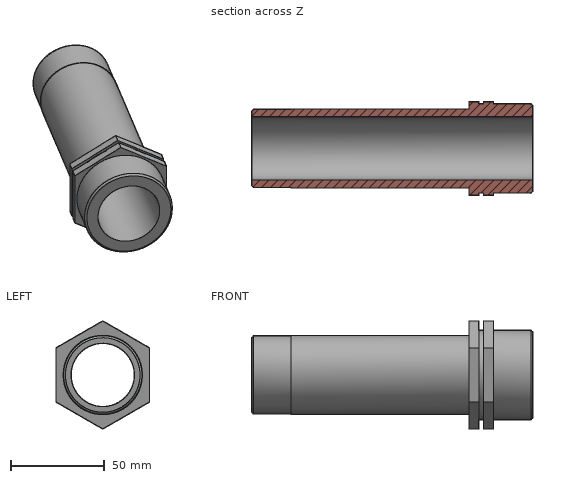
import cadquery as cq

length = 150.0
bore_diameter = 33.6

end_diameter = 41.8
end_length = 21.0
tube_diameter = 42.3
end_chamfer = 1.0

collar_diameter = 47.8
collar_chamfer = 1.0

hex_across_corners = 57.8
hex_thickness = 5.4
hex_gap = 2.4
first_hex_start = 115.8
hex_starts = (first_hex_start, first_hex_start + hex_thickness + hex_gap)


def cylinder(start, end, diameter):
    """Solid cylinder along X between two stations."""
    return cq.Workplane("YZ", origin=(start, 0, 0)).circle(diameter / 2).extrude(end - start)


def hexagon(start):
    """Hexagonal flange with its flats facing +Y and -Y."""
    return (
        cq.Workplane("YZ", origin=(start, 0, 0))
        .transformed(rotate=(0, 0, 90))
        .polygon(6, hex_across_corners)
        .extrude(hex_thickness)
    )


end_section = cylinder(0, end_length, end_diameter).faces("<X").chamfer(end_chamfer)
tube = cylinder(end_length, length, tube_diameter)
collar = cylinder(first_hex_start, length, collar_diameter).faces(">X").chamfer(collar_chamfer)

body = end_section.union(tube).union(collar)
for hex_start in hex_starts:
    body = body.union(hexagon(hex_start))

result = body.cut(cylinder(0, length, bore_diameter))